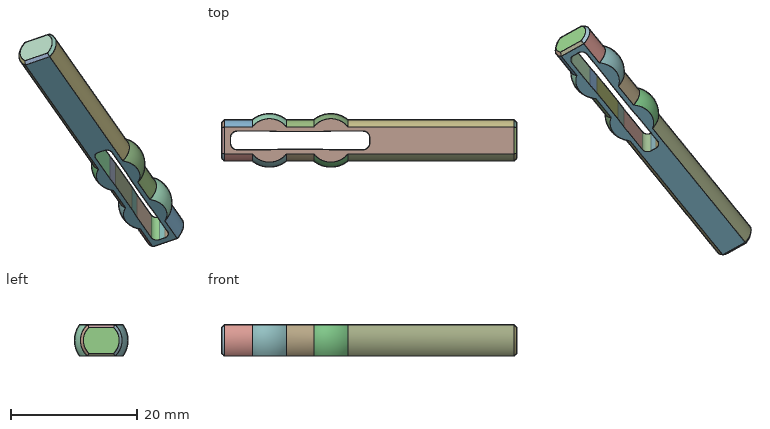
import cadquery as cq

length = 46.9
height = 5.0
shaft_diameter = 6.6
ball_diameter = 8.55
end_chamfer = 0.45

slot_start = 1.45
slot_end = 23.5
slot_middle = (slot_start + slot_end) / 2
ball_spacing = 9.75
ball_centres = (slot_middle - ball_spacing / 2, slot_middle + ball_spacing / 2)

slot_width = 2.9
slot_corner_radius = 1.0
waist_width = 2.75
waist_length = 6.05


def flat_sided(body):
    """Trim a body to the flats above and below the axis."""
    slab = cq.Workplane("XY").box(length, ball_diameter, height)
    return body.intersect(slab.translate((length / 2, 0, 0)))


def make_shaft():
    """Round bar with two flats, chamfered all around both ends."""
    bar = cq.Workplane("YZ").circle(shaft_diameter / 2).extrude(length)
    return flat_sided(bar).faces("<X or >X").chamfer(end_chamfer)


def make_ball(centre_x):
    """Ball centred on the axis, cut by the same flats as the shaft."""
    ball = cq.Workplane("XY").sphere(ball_diameter / 2)
    return flat_sided(ball.translate((centre_x, 0, 0)))


def make_waist_rib():
    """Shallow rib with sloping ends on the +Y wall of the slot, from ball centre to ball centre."""
    wall_y = slot_width / 2
    crest_y = waist_width / 2
    first_ball, second_ball = ball_centres
    outline = [
        (first_ball, wall_y),
        (slot_middle - waist_length / 2, crest_y),
        (slot_middle + waist_length / 2, crest_y),
        (second_ball, wall_y),
    ]
    return cq.Workplane("XY").polyline(outline).close().extrude(height / 2, both=True)


def make_slot():
    """Slot through both flats, with rounded corners and a narrower waist."""
    slot = cq.Workplane("XY").box(slot_end - slot_start, slot_width, height)
    slot = slot.edges("|Z").fillet(slot_corner_radius).translate((slot_middle, 0, 0))
    rib = make_waist_rib()
    return slot.cut(rib).cut(rib.mirror("XZ"))


result = make_shaft()
for ball_centre in ball_centres:
    result = result.union(make_ball(ball_centre))
result = result.cut(make_slot())